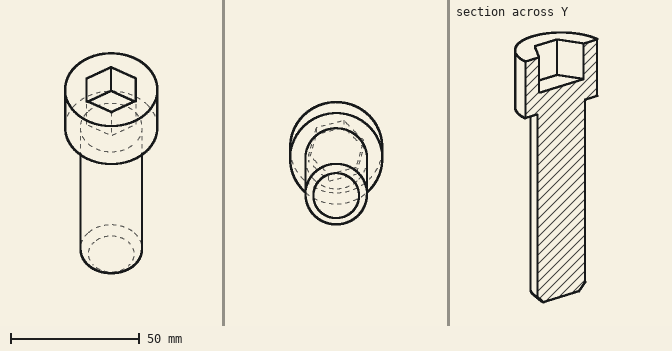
import cadquery as cq
import math

total_length = 104.0
head_diameter = 36.0
shank_diameter = 24.0
head_height = shank_diameter
tip_chamfer = 3.1
socket_across_flats = 19.1
socket_depth = 15.0

head_underside = total_length - head_height

shank = cq.Workplane("XY").circle(shank_diameter / 2).extrude(head_underside)
shank = shank.faces("<Z").chamfer(tip_chamfer)

head = (
    cq.Workplane("XY", origin=(0, 0, head_underside))
    .circle(head_diameter / 2)
    .extrude(head_height)
)

socket_across_corners = socket_across_flats / math.cos(math.pi / 6)
socket = (
    cq.Workplane("XY", origin=(0, 0, total_length - socket_depth))
    .polygon(6, socket_across_corners)
    .extrude(socket_depth)
)

result = shank.union(head).cut(socket)